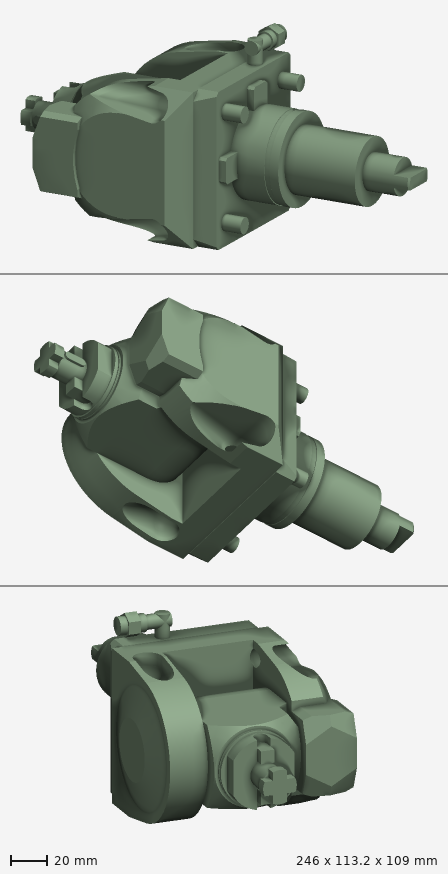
import cadquery as cq
import math


collar_radius = 27.3
collar_length = 30.5
groove_start = 21.6
groove_width = 3.5
groove_depth = 0.5
shank_radius = 20.0
shank_end = 74.8
stub_radius = 11.0
stub_end = 94.2
tang_end = 104.3
tang_thickness = 7.5
tang_chamfer = 1.0

plate_thickness = 12.5
plate_half_height = 46.0
plate_half_width = 46.2
plate_rear_half_width = 42.5
plate_corner_width = 6.0
screw_offset = 32.2
screw_diameter = 9.5
screw_length = 12.0
key_width = 15.3
key_reach = 39.9
key_thickness = 4.5
key_chamfer = 1.5

pivot_x = -54.0
housing_radius = 41.8
housing_half_height = 45.5
slope_angle = math.radians(10)
housing_back = 46.7
housing_front = -58.3
bevel_depth = 11.5
bevel_drop = 15.0
nose_bevel_radius = 30.3
pocket_back = 24.0
pocket_front = -30.5
pocket_wall = -29.5
front_cheek_start = -85.4
past_nose = pivot_x - 2 * housing_radius
cap_height = 5.5
cap_radius = 36.0
cap_top_radius = 18.2

back_slot_rise = 0.45
front_slot_rise = 0.32
slot_length = 64.0
slot_height = 49.2
back_slot_radius = 8.4
back_slot_end = (-34.2, 34.5, 38.0)
front_slot_radius = 7.6
front_slot_end = (-32.2, -36.0, 35.5)

head_radius = 24.4
head_face = -105.3
head_cone_start_radius = 23.9
head_edge_cut_width = 6.5
head_edge_cut_height = 8.9
head_edge_cut_end = -78.2
head_edge_cut_slant = 4.5
block_front = -61.0
block_face = -106.0
block_end = -77.7
block_half_height = 23.5
block_edge_width = 5.2
block_edge_drop = 2.0
bevel_spread = 2.3
block_step_radius = 56.8
block_step_x = -80.5

seat_radius = 22.0
seat_groove = 0.7
seat_start = -109.2
nut_radius = 21.0
nut_half_width = 18.2
nut_face = -118.5
driver_width = 8.0
driver_face = -124.2
driver_inner = 8.0
driver_outer = 15.7
driver_slot_tip = -109.7
arbor_radius = 8.0
arbor_end = -135.5
cross_end = -141.7
cross_radius = 10.0
cross_width = 8.4
feather_start = -134.0
feather_length = 13.8
feather_width = 5.0
feather_height = 9.3

pipe_radius = 8.5 / 2
pipe_x = -7.0
pipe_y = 14.3
pipe_axis_z = 55.8
nozzle_start = 25.3
nozzle_end = 41.3
nozzle_radius = 5.5
hex_start = 29.8
hex_end = 37.0
hex_corner_diameter = 14.5

hex_sides = 6


def cylinder_x(start, end, radius):
    """Cylinder on the shank axis between two X positions."""
    return cq.Workplane("YZ", origin=(start, 0, 0)).circle(radius).extrude(end - start)


def ring_groove(start, width, radius, depth):
    """Ring of material to remove for a groove around the shank axis."""
    ring = cylinder_x(start, start + width, radius)
    return ring.cut(cylinder_x(start, start + width, radius - depth))


def block(x_range, y_range, z_range):
    """Rectangular block from its limits on each axis."""
    limits = (x_range, y_range, z_range)
    size = [high - low for low, high in limits]
    middle = [(high + low) / 2 for low, high in limits]
    return cq.Workplane("XY").box(*size).translate(tuple(middle))


def with_mirror_z(shape):
    """The shape together with its mirror image below the XY plane."""
    return shape.union(shape.mirror("XY"))


def shank():
    """Collar, shank and stub on one axis, ending in a flat tang."""
    body = cylinder_x(0, collar_length, collar_radius)
    body = body.cut(ring_groove(groove_start, groove_width, collar_radius, groove_depth))
    body = body.union(cylinder_x(0, shank_end, shank_radius))
    body = body.union(cylinder_x(0, stub_end, stub_radius))
    tang = cylinder_x(stub_end, tang_end, stub_radius).faces(">X").chamfer(tang_chamfer)
    half = tang_thickness / 2
    flats = block((stub_end, tang_end), (-stub_radius, stub_radius), (-half, half))
    return body.union(tang.intersect(flats))


def plate():
    """Mounting plate, narrower at the rear, with chamfered long edges."""
    outline = [
        (-plate_thickness, plate_half_width),
        (0, plate_rear_half_width),
        (0, -plate_rear_half_width),
        (-plate_thickness, -plate_half_width),
    ]
    body = cq.Workplane("XY").polyline(outline).close().extrude(plate_half_height, both=True)
    section = cq.Workplane("YZ", origin=(-plate_thickness, 0, 0))
    section = section.rect(2 * plate_half_width, 2 * plate_half_height).extrude(plate_thickness)
    return body.intersect(section.edges("|X").chamfer(plate_corner_width))


def screws():
    """Four screw ends behind the plate."""
    spacing = 2 * screw_offset
    centres = cq.Workplane("YZ").rect(spacing, spacing, forConstruction=True).vertices()
    return centres.circle(screw_diameter / 2).extrude(screw_length)


def keys():
    """Three drive keys on the rear face of the plate: one above and one on each side."""
    half = key_width / 2
    upright = block((0, key_thickness), (-half, half), (0, key_reach))
    upright = upright.edges("|X and >Z").chamfer(key_chamfer)
    body = upright
    for angle in (90, -90):
        body = body.union(upright.rotate((0, 0, 0), (1, 0, 0), angle))
    return body


def housing_profile(plane):
    """Side outline: round nose, two sloping tangents and a flat top and bottom."""
    tangent_x = pivot_x - housing_radius * math.sin(slope_angle)
    tangent_z = housing_radius * math.cos(slope_angle)
    flat_start = tangent_x + (housing_half_height - tangent_z) / math.tan(slope_angle)
    return (
        plane.moveTo(-plate_thickness, -housing_half_height)
        .lineTo(-plate_thickness, housing_half_height)
        .lineTo(flat_start, housing_half_height)
        .lineTo(tangent_x, tangent_z)
        .threePointArc((pivot_x - housing_radius, 0), (tangent_x, -tangent_z))
        .lineTo(flat_start, -housing_half_height)
        .close()
    )


def front_bevel_envelope():
    """Space left by the bevels around the front cheek: planes above, below and behind, a cone at the nose."""
    bevel_start = housing_front + bevel_depth
    section = [
        (housing_back, housing_half_height),
        (bevel_start, housing_half_height),
        (housing_front, housing_half_height - bevel_drop),
        (housing_front, bevel_drop - housing_half_height),
        (bevel_start, -housing_half_height),
        (housing_back, -housing_half_height),
    ]
    above = cq.Workplane("YZ", origin=(past_nose, 0, 0)).polyline(section).close().extrude(-past_nose)
    plan = [
        (pivot_x, housing_back),
        (-plate_thickness, housing_back),
        (-plate_thickness, bevel_start),
        (-plate_thickness - bevel_depth, housing_front),
        (pivot_x, housing_front),
    ]
    rear = cq.Workplane("XY").polyline(plan).close().extrude(housing_half_height, both=True)
    cone_base_radius = nose_bevel_radius + (housing_back - housing_front) * bevel_drop / bevel_depth
    cone_profile = [
        (housing_back, 0),
        (housing_back, cone_base_radius),
        (housing_front, nose_bevel_radius),
        (housing_front, 0),
    ]
    nose = cq.Workplane("YZ").polyline(cone_profile).close()
    nose = nose.revolve(180, (0, 0, 0), (-1, 0, 0))
    return above.intersect(rear.union(nose.translate((pivot_x, 0, 0))))


def access_slot(end, run, opening, radius):
    """Round-bottomed slot from its blind end along run, open on one side."""
    start = cq.Vector(*end)
    along = cq.Vector(*run).normalized()
    out = cq.Vector(*opening)
    side = along.cross(out).normalized()
    trough = cq.Solid.makeCylinder(radius, slot_length, start, along)
    end_wall = cq.Solid.makeCylinder(radius, slot_height, start, out)
    ball = cq.Workplane("XY").sphere(radius).translate(end)
    corners = [start, start + along * slot_length]
    corners += [corners[1] + out * slot_height, start + out * slot_height]
    wall = cq.Wire.makePolygon([corner - side * radius for corner in corners], close=True)
    walls = cq.Solid.extrudeLinear(wall, [], side * (2 * radius))
    return ball.union(cq.Workplane(trough)).union(cq.Workplane(end_wall)).union(cq.Workplane(walls))


def housing():
    """Two cheeks around an open pocket, with a cap behind and slots to reach the screws."""
    plane = cq.Workplane("XZ", origin=(0, housing_back, 0))
    body = housing_profile(plane).extrude(housing_back - housing_front)
    body = body.intersect(front_bevel_envelope())
    height = (-housing_half_height, housing_half_height)
    body = body.cut(block((past_nose, pocket_wall), (pocket_front, pocket_back), height))
    body = body.cut(block((past_nose, front_cheek_start), (housing_front, pocket_front), height))
    cap_profile = [(0, 0), (cap_radius, 0), (cap_top_radius, cap_height), (0, cap_height)]
    cap = cq.Workplane("XY").polyline(cap_profile).close().revolve(360, (0, 0, 0), (0, 1, 0))
    body = body.union(cap.translate((pivot_x, housing_back, 0)))
    back_slot = access_slot(back_slot_end, (-1, 0, back_slot_rise), (0, 0, 1), back_slot_radius)
    front_run = (-1, -front_slot_rise, math.tan(slope_angle))
    front_slot = access_slot(front_slot_end, front_run, (0, -1, 0), front_slot_radius)
    return body.cut(with_mirror_z(back_slot)).cut(with_mirror_z(front_slot))


def swivel_head():
    """Barrel about the Y pivot, extended toward the nose and coned around the spindle."""
    width = pocket_back - pocket_front
    barrel = cq.Workplane("XZ", origin=(pivot_x, pocket_back, 0)).circle(head_radius).extrude(width)
    height = (-head_radius, head_radius)
    body = barrel.union(block((head_face, pivot_x), (pocket_front, pocket_back), height))
    length = pivot_x + head_radius - head_face
    cone_profile = [
        (0, 0),
        (0, head_cone_start_radius),
        (length, head_cone_start_radius + length),
        (length, 0),
    ]
    cone = cq.Workplane("XY").polyline(cone_profile).close().revolve(360, (0, 0, 0), (1, 0, 0))
    body = body.intersect(cone.translate((head_face, 0, 0)))
    edge_corner = [
        (pocket_front, head_radius),
        (pocket_front + head_edge_cut_width, head_radius),
        (pocket_front, head_radius - head_edge_cut_height),
    ]
    edge_cut = cq.Workplane("YZ", origin=(head_face, 0, 0)).polyline(edge_corner).close()
    edge_cut = edge_cut.extrude(head_edge_cut_end - head_face)
    cut_inner = pocket_front + head_edge_cut_width
    cut_plan = [
        (head_face, pocket_front),
        (head_edge_cut_end, pocket_front),
        (head_edge_cut_end - head_edge_cut_slant, cut_inner),
        (head_face, cut_inner),
    ]
    slanted_end = cq.Workplane("XY").polyline(cut_plan).close().extrude(head_radius)
    return body.cut(with_mirror_z(edge_cut.intersect(slanted_end)))


def side_block():
    """Square block beside the nose, its end bevelled by a six-sided pyramid."""
    length = block_end - block_face
    width = pocket_front - block_front
    middle = (pocket_front + block_front) / 2
    inner = block_half_height - block_edge_drop
    outline = [
        (pocket_front, inner),
        (pocket_front - block_edge_width, block_half_height),
        (block_front + block_edge_width, block_half_height),
        (block_front, inner),
        (block_front, -inner),
        (block_front + block_edge_width, -block_half_height),
        (pocket_front - block_edge_width, -block_half_height),
        (pocket_front, -inner),
    ]
    body = cq.Workplane("YZ", origin=(block_face, 0, 0)).polyline(outline).close().extrude(length)
    corner_radius = width / math.sqrt(3)
    growth = 1 + bevel_spread * length / (width / 2)

    def hexagon(radius):
        step_angle = 2 * math.pi / hex_sides
        angles = [(side + 0.5) * step_angle for side in range(hex_sides)]
        return [(radius * math.cos(angle), radius * math.sin(angle)) for angle in angles]

    pyramid = (
        cq.Workplane("YZ", origin=(block_face, middle, 0))
        .polyline(hexagon(corner_radius)).close()
        .workplane(offset=length)
        .polyline(hexagon(corner_radius * growth)).close()
        .loft(ruled=True)
    )
    body = body.intersect(pyramid)
    step = cq.Workplane("XZ", origin=(block_step_x + block_step_radius, housing_front, 0))
    return body.cut(step.circle(block_step_radius).extrude(housing_front - block_front))


def nose():
    """Spindle seat, slotted clamping nut and two drivers."""
    seat = cylinder_x(seat_start, head_face, seat_radius)
    groove_x = (seat_start + head_face) / 2
    ring = ring_groove(groove_x, seat_groove, seat_radius, seat_groove)
    nut = cylinder_x(nut_face, seat_start, nut_radius)
    flats = block((nut_face, seat_start), (-nut_half_width, nut_half_width), (-nut_radius, nut_radius))
    body = seat.cut(ring).union(nut.intersect(flats))

    half = driver_width / 2
    slot = (
        cq.Workplane("XY", origin=(0, 0, driver_outer))
        .moveTo(nut_face, half)
        .lineTo(driver_slot_tip - half, half)
        .threePointArc((driver_slot_tip, 0), (driver_slot_tip - half, -half))
        .lineTo(nut_face, -half)
        .close()
        .extrude(nut_radius - driver_outer)
    )
    driver = block((driver_face, nut_face), (-half, half), (driver_inner, driver_outer))
    return body.cut(with_mirror_z(slot)).union(with_mirror_z(driver))


def arbor():
    """Cutter arbor with a feather key and a cross-shaped end."""
    body = cylinder_x(arbor_end, nut_face, arbor_radius)
    half = cross_width / 2
    ends = (cross_end, arbor_end)
    span = (-cross_radius, cross_radius)
    cross = block(ends, span, (-half, half)).union(block(ends, (-half, half), span))
    cross = cross.intersect(cylinder_x(cross_end, arbor_end, cross_radius))
    feather = cq.Workplane("XZ", origin=(feather_start + feather_length / 2, 0, 0))
    feather = feather.slot2D(feather_length, feather_width).extrude(feather_height)
    return body.union(cross).union(feather)


def coolant_elbow():
    """Pipe that rises from the plate and turns toward +Y into a nozzle."""
    pipe_front = pipe_y - pipe_radius
    root = plate_half_height - plate_thickness
    riser = cq.Workplane("XY", origin=(pipe_x, pipe_y, root)).circle(pipe_radius)
    riser = riser.extrude(pipe_axis_z + pipe_radius - root)

    def facing_back(start):
        """Work plane that faces +Y, so that lengths run away from the elbow."""
        return cq.Workplane("ZX", origin=(pipe_x, start, pipe_axis_z))

    pipe = facing_back(pipe_front).circle(pipe_radius).extrude(nozzle_start - pipe_front)
    nozzle = facing_back(nozzle_start).circle(nozzle_radius).extrude(nozzle_end - nozzle_start)
    hexagon = facing_back(hex_start).polygon(hex_sides, hex_corner_diameter).extrude(hex_end - hex_start)
    return riser.union(pipe).union(nozzle).union(hexagon)


result = plate()
for feature in (shank, screws, keys, housing, swivel_head, side_block, nose, arbor, coolant_elbow):
    result = result.union(feature())